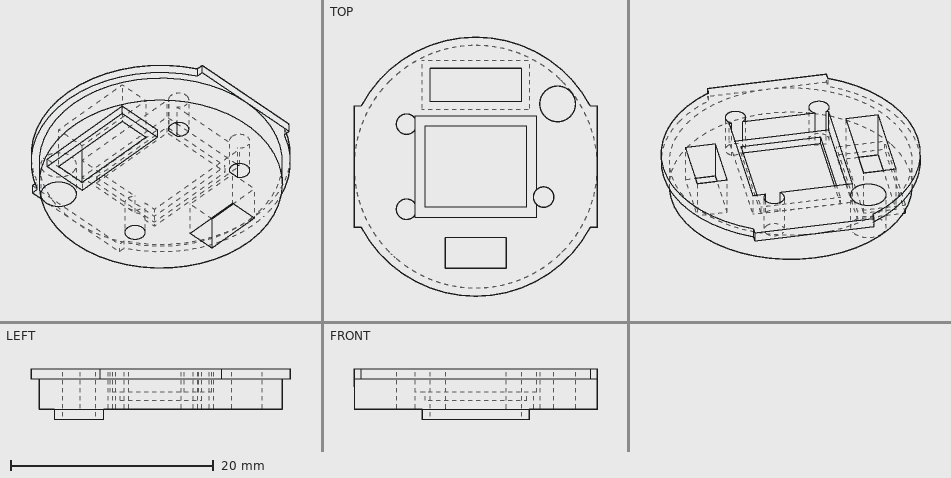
import cadquery as cq
import math

body_diameter = 24.0
body_height = 3.0
flange_thickness = 1.0
top_z = body_height + flange_thickness

flange_radius = 12.8
band_length = body_diameter
band_width = 12.0

pocket_length = 12.0
pocket_width = 10.0
pocket_depth = 2.3
ledge_width = 1.0
recess_depth = 0.8

rear_slot_length = 9.0
rear_slot_width = 3.25
rear_slot_y = 8.075
front_slot_length = 6.0
front_slot_width = 3.0
front_slot_y = -8.5

collar_wall = 0.8
collar_height = 1.0

pin_hole_diameter = 2.0
left_pin_centres = [(-6.83, 4.2), (-6.83, -4.2)]
right_pin_centre = (6.7, -3.0)
large_hole_diameter = 3.5
large_hole_centre = (8.08, 6.2)


def block(length, width, bottom_z, height, centre_y=0.0):
    """Upright box centred on X = 0."""
    return (
        cq.Workplane("XY", origin=(0, centre_y, bottom_z))
        .rect(length, width)
        .extrude(height)
    )


def make_body():
    return cq.Workplane("XY").circle(body_diameter / 2).extrude(body_height)


def make_flange():
    half_length = band_length / 2
    half_width = band_width / 2
    arc_end_x = math.sqrt(flange_radius**2 - half_width**2)
    return (
        cq.Workplane("XY", origin=(0, 0, body_height))
        .moveTo(-half_length, -half_width)
        .lineTo(-arc_end_x, -half_width)
        .threePointArc((0, -flange_radius), (arc_end_x, -half_width))
        .lineTo(half_length, -half_width)
        .lineTo(half_length, half_width)
        .lineTo(arc_end_x, half_width)
        .threePointArc((0, flange_radius), (-arc_end_x, half_width))
        .lineTo(-half_length, half_width)
        .close()
        .extrude(flange_thickness)
    )


def make_collar():
    length = rear_slot_length + 2 * collar_wall
    width = rear_slot_width + 2 * collar_wall
    return block(length, width, -collar_height, collar_height, rear_slot_y)


def make_pocket():
    ledge_z = top_z - pocket_depth
    recess_length = pocket_length - 2 * ledge_width
    recess_width = pocket_width - 2 * ledge_width
    pocket = block(pocket_length, pocket_width, ledge_z, pocket_depth)
    recess = block(recess_length, recess_width, ledge_z - recess_depth, recess_depth)
    return pocket.union(recess)


def make_slot(length, width, centre_y):
    return block(length, width, -collar_height, top_z + collar_height, centre_y)


def make_holes(diameter, centres):
    return cq.Workplane("XY").pushPoints(centres).circle(diameter / 2).extrude(top_z)


def make_left_pin_holes():
    """Left pin holes, stopping flush with the pocket wall so the pocket floor stays whole."""
    pocket_footprint = block(pocket_length, pocket_width, 0, top_z)
    return make_holes(pin_hole_diameter, left_pin_centres).cut(pocket_footprint)


result = (
    make_body()
    .union(make_flange())
    .union(make_collar())
    .cut(make_pocket())
    .cut(make_slot(rear_slot_length, rear_slot_width, rear_slot_y))
    .cut(make_slot(front_slot_length, front_slot_width, front_slot_y))
    .cut(make_left_pin_holes())
    .cut(make_holes(pin_hole_diameter, [right_pin_centre]))
    .cut(make_holes(large_hole_diameter, [large_hole_centre]))
)